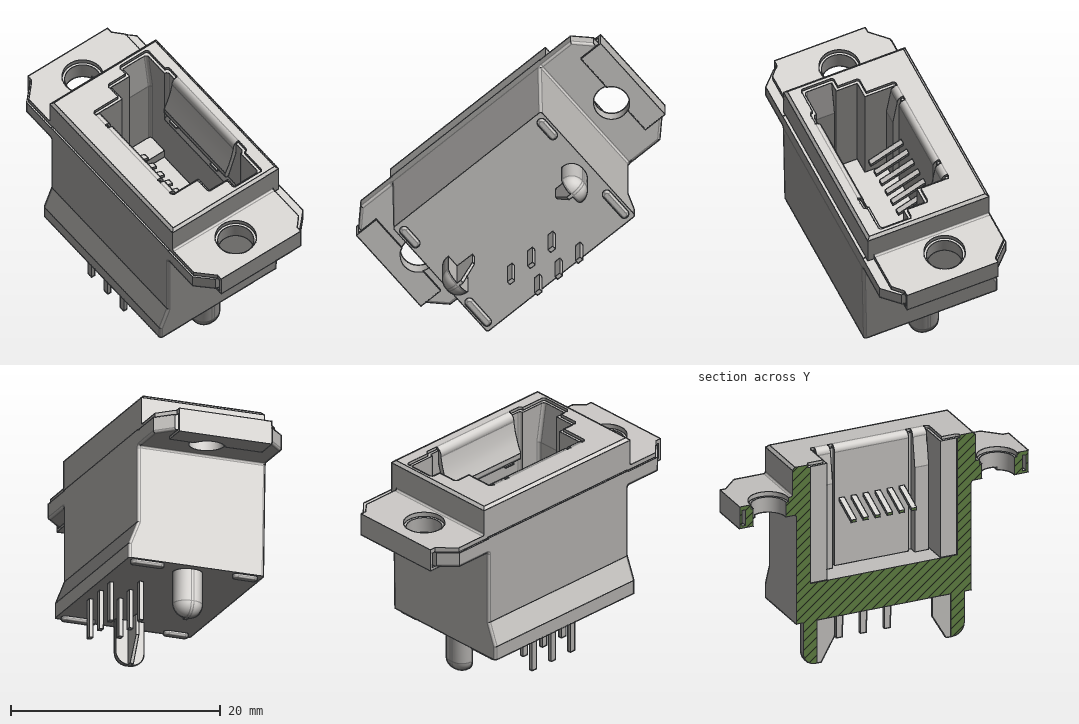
import cadquery as cq


body_half_width = 9.24
body_front = -5.94
body_back = 7.26
back_draft = 0.16
body_top = 13.09
foot_front = -6.86
foot_height = 1.45
foot_slope_top = 3.76
flange_half_width = 14.64
flange_bottom = 11.43
flange_top = 13.01
flange_corner = 1.55
corner_radius = 0.2
edge_radius = 0.24

bracket_half_width = 15.24
bracket_top = 13.47
bracket_wall = 0.28
bracket_tab_front = -4.15
bracket_tab_back = 5.38
plate_front = -5.75
plate_back = 6.3
plate_front_corner_x = 13.0
plate_back_corner_x = 13.64
lip_inner_x = 12.77
screw_x = 12.06
screw_hole_diameter = 3.45
plate_hole_diameter = 3.95

collar_half_width = 9.67
collar_back = 6.95
collar_top = 16.48
collar_chamfer = 0.28
collar_base_fillet = 0.19
rim_depth = 0.3
ledge_z = collar_top - rim_depth

cavity_floor = 4.0
cavity_half_width = 5.99
notch_back = 5.52
shoulder_back = 5.18
shoulder_front = 2.32
middle_front = 0.12
cavity_front = -3.16
middle_half_width = 7.73
shoulder_top_half_width = 8.8
shoulder_low_half_width = 8.15
shoulder_taper_z = 12.1
bore_corner = 0.3
notch_bottom = 8.9
notch_slope_rise = 0.8
floor_pocket_depth = 1.0
rim_clearance = 0.28
bore_front = cavity_front + rim_clearance

guide_face = -2.52
guide_radius = guide_face - cavity_front
center_guide_half_width = 3.9
side_guide_inner_x = 4.34
side_guide_outer_x = 5.8
side_guide_foot = -2.06
side_guide_slope_height = 3.0
contact_count = 6
contact_pitch = 1.27
contact_width = 0.55
contact_thickness = 0.3
contact_tip = 0.9
contact_root_z = 11.0
contact_drop = 1.5
latch_half_width = 4.82
latch_tip_y = 4.24
latch_tip_z = 12.55
latch_lip_height = 0.5
latch_bend_y = 5.2
latch_bend_z = 15.6
latch_bend_radius = 0.8
latch_thickness = 0.45
latch_sag = 0.12
latch_tab_x = 3.2
latch_tab_width = 1.07
latch_tab_reach = 0.19
latch_tab_height = 0.15

standoff_height = 0.37
standoff_outer_x = 9.0
standoff_inner_x = 8.15
standoff_edge = 0.2
standoff_corner = 0.4
rear_standoff = (4.12, 6.62)
front_standoff = (-6.42, -3.0)
post_radius = 1.46
post_x = 7.06
overall_height = 20.97
post_tip_z = collar_top - overall_height
post_flat = 0.27
post_tip_radius = 1.28
fin_inner_x = 5.18
fin_tip_x = 6.6
fin_shoulder_z = -2.04
fin_root_half_thickness = post_radius - post_tip_radius
fin_inner_half_thickness = 0.14
pin_width = 0.6
pin_thickness = 0.38
pin_tip_z = -3.87
pin_row_front = -5.72
pin_row_back = -3.18


def box(x_min, x_max, y_min, y_max, z_min, z_max):
    """Axis-aligned box given by its limits."""
    size = (x_max - x_min, y_max - y_min, z_max - z_min)
    return cq.Workplane("XY").box(*size, centered=False).translate((x_min, y_min, z_min))


def mirrored(shape):
    """The shape together with its mirror image across the YZ plane."""
    return shape.union(shape.mirror("YZ"))


def centered_prism(points, half_width):
    """Prism along X, symmetric about X = 0, from (y, z) points."""
    return cq.Workplane("YZ").polyline(points).close().extrude(half_width, both=True)


def make_body():
    """Body with the plastic flange, its sloped foot and its rounded edges."""
    outline = (
        cq.Workplane("XZ")
        .moveTo(-body_half_width, 0)
        .lineTo(body_half_width, 0)
        .lineTo(body_half_width, flange_bottom)
        .lineTo(flange_half_width, flange_bottom)
        .lineTo(flange_half_width, flange_top)
        .lineTo(-flange_half_width, flange_top)
        .lineTo(-flange_half_width, flange_bottom)
        .lineTo(-body_half_width, flange_bottom)
        .close()
        .extrude(body_back, both=True)
    )
    side_profile = centered_prism(
        [
            (foot_front, 0),
            (foot_front, foot_height),
            (body_front, foot_slope_top),
            (body_front, flange_top),
            (body_back, flange_top),
            (body_back, flange_bottom),
            (body_back - back_draft, 0),
        ],
        flange_half_width,
    )
    body = outline.intersect(side_profile)
    body = body.edges("|Z").edges(">X or <X").chamfer(flange_corner)
    flange_roots = cq.selectors.BoxSelector(
        (-body_half_width - corner_radius, foot_front, flange_bottom - corner_radius),
        (body_half_width + corner_radius, body_back, flange_bottom + corner_radius),
    )
    body = body.edges("|Y").edges(flange_roots).fillet(corner_radius)
    return body.newObject(outline_edges(body)).fillet(edge_radius)


def outline_edges(body):
    """Outline edges below the flange top, leaving out those that span the body width or depth."""
    chosen = []
    for edge in body.edges().vals():
        bounds = edge.BoundingBox()
        below_flange_top = bounds.zmax < flange_top - edge_radius
        runs_through_depth = bounds.ylen > body_back
        spans_width = bounds.xlen > body_half_width
        if below_flange_top and not (runs_through_depth or spans_width):
            chosen.append(edge)
    return chosen


def make_collar():
    """Block above the flange that carries the mouth, chamfered round its top."""
    collar = box(-collar_half_width, collar_half_width, plate_front, collar_back, flange_bottom, collar_top)
    ledge = box(-body_half_width, body_half_width, body_front, body_back, flange_top - edge_radius, body_top)
    return collar.faces(">Z").chamfer(collar_chamfer).union(ledge)


def make_bracket_half():
    """Right half of the bracket: top plate, end wall and inward lip under the flange."""
    plate = (
        cq.Workplane("XY", origin=(0, 0, flange_top))
        .polyline(
            [
                (0, plate_front),
                (plate_front_corner_x, plate_front),
                (flange_half_width, bracket_tab_front),
                (bracket_half_width, bracket_tab_front),
                (bracket_half_width, bracket_tab_back),
                (flange_half_width, bracket_tab_back),
                (plate_back_corner_x, plate_back),
                (0, plate_back),
            ]
        )
        .close()
        .extrude(bracket_top - flange_top)
    )
    lip_bottom = flange_bottom - bracket_wall
    tab = (bracket_tab_front, bracket_tab_back)
    wall = box(bracket_half_width - bracket_wall, bracket_half_width, *tab, lip_bottom, flange_top)
    lip = box(lip_inner_x, bracket_half_width, *tab, lip_bottom, flange_bottom)
    base_fillet = (
        cq.Workplane("XZ", origin=(collar_half_width, plate_back, bracket_top))
        .lineTo(collar_base_fillet, 0)
        .radiusArc((0, collar_base_fillet), collar_base_fillet)
        .close()
        .extrude(plate_back - plate_front)
    )
    return plate.union(wall).union(lip).union(base_fillet)


def make_screw_holes():
    """Clearance holes through the flange, wider through the bracket plate."""
    centers = [(-screw_x, 0), (screw_x, 0)]
    through = cq.Workplane("XY").pushPoints(centers).circle(screw_hole_diameter / 2).extrude(collar_top)
    plate_hole = (
        cq.Workplane("XY", origin=(0, 0, flange_top))
        .pushPoints(centers)
        .circle(plate_hole_diameter / 2)
        .extrude(bracket_top - flange_top)
    )
    return through.union(plate_hole)


def stepped_outline(shoulder, z):
    """Closed stepped outline of the bore at height z, with the given shoulder half width."""
    right_side = [
        (cavity_half_width, bore_front),
        (cavity_half_width, middle_front),
        (middle_half_width, middle_front),
        (middle_half_width, shoulder_front),
        (shoulder, shoulder_front),
        (shoulder, shoulder_back),
        (cavity_half_width, shoulder_back),
        (cavity_half_width, notch_back),
    ]
    left_side = [(-x, y) for x, y in reversed(right_side)]
    return cq.Workplane("XY", origin=(0, 0, z)).polyline(right_side + left_side).close()


def round_back_corners(bore, x_min, x_max, y):
    """Round the upright bore edges at depth y whose X lies between +-x_min and +-x_max."""
    margin = bore_corner / 2
    for side in (-1, 1):
        corner = cq.selectors.BoxSelector(
            (side * (x_min - margin), y - margin, cavity_floor + margin),
            (side * (x_max + margin), y + margin, ledge_z - margin),
        )
        bore = bore.edges(corner).edges("not |X").fillet(bore_corner)
    return bore


def make_cavity():
    """Empty space of the jack: rim step, stepped bore, tapered shoulders and floor pocket."""
    mouth = stepped_outline(shoulder_top_half_width, ledge_z)
    rim = mouth.offset2D(rim_clearance, "arc").extrude(rim_depth)
    bore = stepped_outline(shoulder_low_half_width, cavity_floor).extrude(ledge_z - cavity_floor)
    taper = (
        cq.Workplane("XZ", origin=(0, shoulder_back, 0))
        .polyline(
            [
                (0, shoulder_taper_z),
                (shoulder_low_half_width, shoulder_taper_z),
                (shoulder_top_half_width, ledge_z),
                (0, ledge_z),
            ]
        )
        .close()
        .extrude(shoulder_back - shoulder_front)
    )
    notch_end = centered_prism(
        [
            (shoulder_back, cavity_floor),
            (notch_back, cavity_floor),
            (notch_back, notch_bottom + notch_slope_rise),
            (shoulder_back, notch_bottom),
        ],
        cavity_half_width,
    )
    pocket = box(
        -cavity_half_width,
        cavity_half_width,
        shoulder_front,
        shoulder_back,
        cavity_floor - floor_pocket_depth,
        cavity_floor,
    )
    bore = bore.union(mirrored(taper))
    bore = round_back_corners(bore, shoulder_low_half_width, shoulder_top_half_width, shoulder_back)
    bore = round_back_corners(bore, cavity_half_width, cavity_half_width, notch_back)
    return rim.union(bore.cut(notch_end)).union(pocket)


def guide_profile(foot_y):
    """Section of a front guide: rounded lead-in, then a slope out to foot_y."""
    lead_in_z = collar_top - guide_radius
    return (
        cq.Workplane("YZ")
        .moveTo(cavity_front, cavity_floor)
        .lineTo(cavity_front, collar_top)
        .radiusArc((guide_face, lead_in_z), guide_radius)
        .lineTo(foot_y, lead_in_z - side_guide_slope_height)
        .lineTo(foot_y, cavity_floor)
        .close()
    )


def make_guides():
    """Rounded guides on the front wall of the cavity: one wide, two narrow."""
    center = guide_profile(guide_face).extrude(center_guide_half_width, both=True)
    side = guide_profile(side_guide_foot).extrude(side_guide_outer_x - side_guide_inner_x)
    return center.union(mirrored(side.translate((side_guide_inner_x, 0, 0))))


def contact_x(index):
    """X of the indexed contact; the row is centred on the part."""
    return (index - (contact_count - 1) / 2) * contact_pitch


def make_contacts():
    """Spring contacts sloping down into the cavity from the centre guide."""
    tip_z = contact_root_z - contact_drop
    contact = centered_prism(
        [
            (cavity_front, contact_root_z),
            (guide_face, contact_root_z),
            (contact_tip, tip_z),
            (contact_tip, tip_z - contact_thickness),
            (guide_face, contact_root_z - contact_thickness),
            (cavity_front, contact_root_z - contact_thickness),
        ],
        contact_width / 2,
    )
    contacts = contact.translate((contact_x(0), 0, 0))
    for index in range(1, contact_count):
        contacts = contacts.union(contact.translate((contact_x(index), 0, 0)))
    return contacts


def make_latch():
    """Bent spring leaf hanging from the back of the mouth, with two small tabs at its tip."""
    root_y = notch_back + rim_clearance
    tip_back_y = latch_tip_y + latch_thickness
    lip_z = latch_tip_z - latch_lip_height
    lip_bottom_z = lip_z - latch_thickness / 2
    leaf = (
        cq.Workplane("YZ")
        .moveTo(root_y, collar_top)
        .radiusArc((latch_bend_y, latch_bend_z), -latch_bend_radius)
        .sagittaArc((latch_tip_y, latch_tip_z), latch_sag)
        .lineTo(latch_tip_y, lip_z)
        .threePointArc((latch_tip_y + latch_thickness / 2, lip_bottom_z), (tip_back_y, lip_z))
        .lineTo(root_y, latch_bend_z)
        .close()
        .extrude(latch_half_width, both=True)
    )
    tab = box(
        latch_tab_x - latch_tab_width / 2,
        latch_tab_x + latch_tab_width / 2,
        latch_tip_y - latch_tab_reach,
        latch_tip_y + latch_thickness / 2,
        lip_bottom_z,
        lip_bottom_z + latch_tab_height,
    )
    return leaf.union(mirrored(tab))


def make_standoffs():
    """Four rounded pads under the corners of the body."""
    pads = cq.Workplane("XY")
    for y_min, y_max in (rear_standoff, front_standoff):
        pad = box(standoff_inner_x, standoff_outer_x, y_min, y_max, -standoff_height, 0)
        pad = pad.edges("|Z").fillet(standoff_corner).faces("<Z").edges().fillet(standoff_edge)
        pads = pads.union(pad)
    return mirrored(pads)


def make_posts():
    """Two half-round locating posts, each with a tapered fin toward the middle."""
    square = 2 * post_radius
    full_post = cq.Workplane("XY", origin=(post_x, 0, 0)).rect(square, square).extrude(post_tip_z)
    full_post = full_post.edges("|Z").fillet(post_radius - post_flat / 2)
    full_post = full_post.faces("<Z").edges().fillet(post_tip_radius)
    outer_half = full_post.intersect(
        box(post_x, post_x + post_radius, -post_radius, post_radius, post_tip_z, 0)
    )
    fin_plan = (
        cq.Workplane("XY")
        .polyline(
            [
                (post_x, -fin_root_half_thickness),
                (post_x, fin_root_half_thickness),
                (fin_inner_x, fin_inner_half_thickness),
                (fin_inner_x, -fin_inner_half_thickness),
            ]
        )
        .close()
        .extrude(post_tip_z)
    )
    fin_side = (
        cq.Workplane("XZ")
        .polyline(
            [
                (post_x, 0),
                (fin_inner_x, 0),
                (fin_inner_x, fin_shoulder_z),
                (fin_tip_x, post_tip_z),
                (post_x, post_tip_z),
            ]
        )
        .close()
        .extrude(post_radius, both=True)
    )
    fin = fin_side.intersect(fin_plan)
    return mirrored(outer_half.union(fin))


def make_pins():
    """Solder pins below the body, alternating between the front and back rows."""
    pins = cq.Workplane("XY")
    for index in range(contact_count):
        row_y = pin_row_front if index % 2 == 0 else pin_row_back
        pin = cq.Workplane("XY").box(pin_width, pin_thickness, -pin_tip_z, centered=(True, True, False))
        pins = pins.union(pin.translate((contact_x(index), row_y, pin_tip_z)))
    return pins


shell = make_body().union(make_collar()).union(mirrored(make_bracket_half()))
shell = shell.cut(make_screw_holes()).cut(make_cavity())
fittings = make_guides().union(make_contacts()).union(make_latch())
underside = make_standoffs().union(make_posts()).union(make_pins())
result = shell.union(fittings).union(underside)